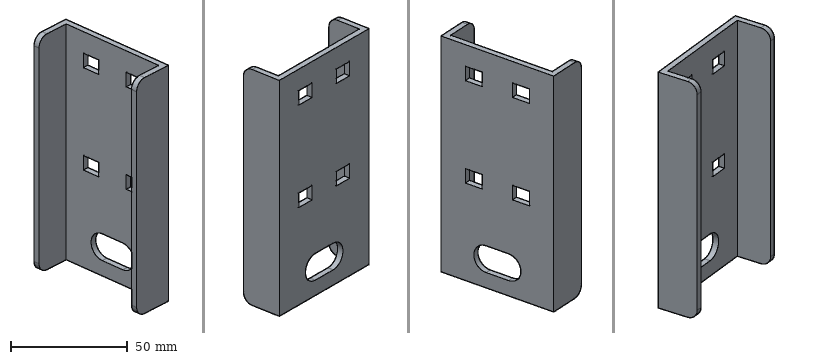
import cadquery as cq

width = 60.0
depth = 20.0
height = 115.0
thickness = 3.0
corner_radius = 5.0

hole_width = 9.0
hole_height = 7.0
column_spacing = 25.1
row_spacing = 49.9
top_row_inset = 14.0

slot_length = 25.0
slot_height = 13.0
slot_inset = 14.0


def make_channel():
    """U-shaped channel, centred on the origin, with rounded free flange corners."""
    block = (
        cq.Workplane("XY")
        .box(width, depth, height)
        .faces("<Y").edges("|X").fillet(corner_radius)
    )
    cavity = (
        cq.Workplane("XY")
        .box(width - 2 * thickness, depth, height)
        .translate((0, -thickness, 0))
    )
    return block.cut(cavity)


def make_hole_cutters():
    """Rectangular prisms long enough to pass through the web."""
    top_row_z = height / 2 - top_row_inset
    centers = [
        (side * column_spacing / 2, z)
        for side in (-1, 1)
        for z in (top_row_z, top_row_z - row_spacing)
    ]
    return (
        cq.Workplane("XZ")
        .pushPoints(centers)
        .rect(hole_width, hole_height)
        .extrude(depth / 2, both=True)
    )


def make_slot_cutter():
    """Horizontal slot with full-radius ends."""
    return (
        cq.Workplane("XZ")
        .center(0, slot_inset - height / 2)
        .slot2D(slot_length, slot_height)
        .extrude(depth / 2, both=True)
    )


result = make_channel().cut(make_hole_cutters()).cut(make_slot_cutter())